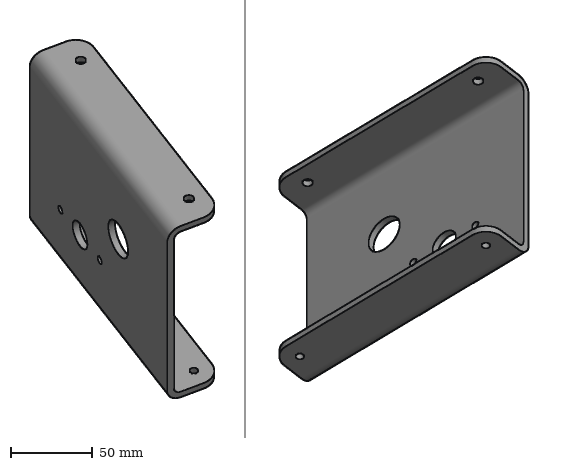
import cadquery as cq

length = 177.8
depth = 38.0
height = 146.0
thickness = 4.8
bend_outer_radius = 9.6
bend_inner_radius = bend_outer_radius - thickness
corner_radius = 12.6

flange_hole_setback = 12.6
top_hole_diameter = 6.4
top_hole_inset = 19.0
bottom_hole_diameter = 5.2
bottom_hole_inset = 12.6

large_hole_diameter = 25.5
large_hole_x = 25.5
large_hole_z = 12.6
medium_hole_diameter = 19.0
medium_hole_x = -23.8
medium_hole_z = -25.5
screw_hole_diameter = 5.2
screw_hole_spacing = 50.9

half_length = length / 2
half_height = height / 2


def box(x_size, y_min, y_max, z_size):
    """Box centred in X and Z, spanning y_min to y_max."""
    return cq.Workplane("XY").box(x_size, y_max - y_min, z_size).translate((0, (y_min + y_max) / 2, 0))


def make_channel():
    """Bent sheet: a web with a flange along its top and bottom edges."""
    outside = box(length, 0, depth, height)
    outside = outside.edges("|X and <Y").fillet(bend_outer_radius)
    inside = box(length, thickness, depth + thickness, height - 2 * thickness)
    inside = inside.edges("|X and <Y").fillet(bend_inner_radius)
    channel = outside.cut(inside)
    return channel.edges("|Z and >Y").fillet(corner_radius)


def web_hole(x, z, diameter):
    """Cutter through the web."""
    return cq.Workplane("XZ").center(x, z).circle(diameter / 2).extrude(-thickness)


def flange_holes(z_min, inset, diameter):
    """Pair of cutters through the flange whose lower face is at z_min."""
    offset = half_length - inset
    y = depth - flange_hole_setback
    return (
        cq.Workplane("XY", origin=(0, 0, z_min))
        .pushPoints([(-offset, y), (offset, y)])
        .circle(diameter / 2)
        .extrude(thickness)
    )


result = make_channel()

result = result.cut(web_hole(large_hole_x, large_hole_z, large_hole_diameter))
result = result.cut(web_hole(medium_hole_x, medium_hole_z, medium_hole_diameter))
for side in (-1, 1):
    screw_hole_x = medium_hole_x + side * screw_hole_spacing / 2
    result = result.cut(web_hole(screw_hole_x, medium_hole_z, screw_hole_diameter))

result = result.cut(flange_holes(half_height - thickness, top_hole_inset, top_hole_diameter))
result = result.cut(flange_holes(-half_height, bottom_hole_inset, bottom_hole_diameter))